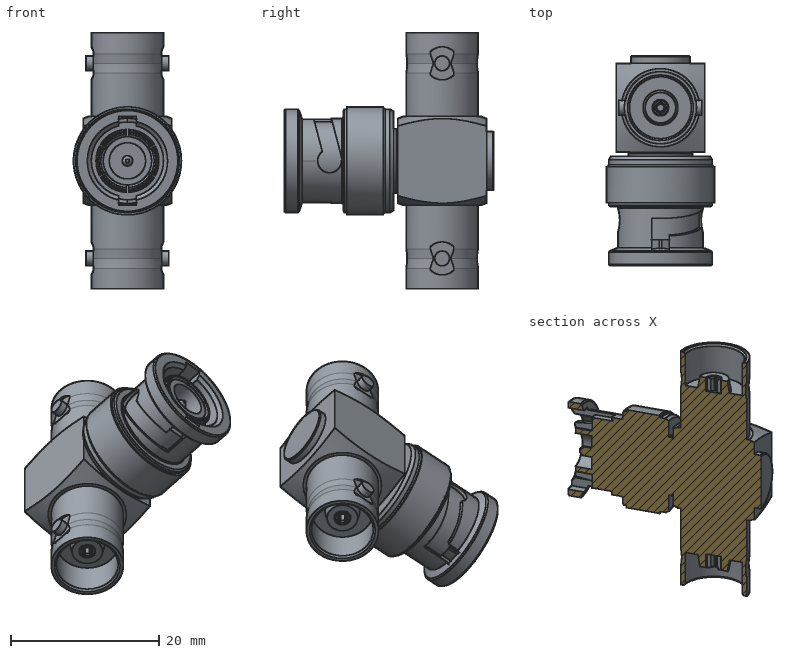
import cadquery as cq
import math


body_size = 12.0
body_half = body_size / 2
body_cone_start_radius = 5.28
body_cone_angle = 22.0
cap_radius = 4.0
cap_height = 1.0
cap_chamfer = 0.15

jack_radius = 4.87
jack_end = 17.3
jack_mouth_radius = 4.43
jack_bore_radius = 4.17
jack_bore_floor = 12.4
jack_groove_center = 13.17
jack_groove_half_width = 1.3
jack_groove_depth = 0.13
pin_radius = 1.0
pin_reach = 5.6
pin_spot_radius = 2.23
pin_spot_reach = 4.6
insulator_base_radius = 2.36
insulator_tip_radius = 2.06
insulator_tip = 14.1
socket_clearance_radius = 1.1
socket_radius = 0.98
socket_bore_radius = 0.5
socket_mouth_radius = 0.7
socket_depth = 2.0
socket_slit_width = 0.2
socket_slit_count = 4

neck_radius = 4.35
neck_chamfer = 0.2
nut_start = 6.55
nut_shoulder = 7.95
nut_shoulder_step = 0.25
nut_end = 13.35
nut_radius = 7.3
nut_collar_radius = 7.0
nut_front_collar_length = 0.5
nut_chamfer = 0.3
nut_rear_chamfer_length = 0.5
shell_radius = 5.75
shell_root_chamfer = 0.2
flange_start = 18.9
flange_cone_length = 0.4
flange_cone_radius = 6.8
flange_radius = 7.0
flange_chamfer = 0.2
plug_end = 21.35
plug_bore_radius = 4.87
plug_mouth_radius = 5.42
plug_mouth_chamfer = 0.5
plug_bore_floor = 17.85

slot_width = 2.4
slot_reach = 6.0
slot_floor_radius = 5.25
slot_rear = 14.95
ramp_rise_per_height = 0.26
lock_hole_center = 15.2
lock_hole_radius = 1.6

collet_radius = 4.25
collet_shoulder_radius = 4.0
collet_tip_outer_radius = 3.85
collet_tip_inner_radius = 3.6
collet_tip = 20.45
collet_bevel = 0.2
collet_slit_width = 0.3
collet_slit_count = 6
plug_insulator_radius = 3.26
plug_insulator_bore_radius = 2.45
plug_insulator_tip = 20.3
plug_insulator_floor = 17.95
contact_radius = 0.7
contact_tip_radius = 0.25
contact_tip = 19.65
contact_taper_length = 0.5


def turned_z(points):
    """Solid turned about Z from (radius, height) points."""
    return cq.Workplane("XZ").polyline(points).close().revolve(360, (0, 0, 0), (0, 1, 0))


def turned_plug(points):
    """Solid turned about the plug axis from (radius, distance along -Y) points."""
    profile = [(radius, -distance) for radius, distance in points]
    return cq.Workplane("XY").polyline(profile).close().revolve(360, (0, 0, 0), (0, 1, 0))


def make_body():
    """Square block with its Z ends turned to shallow cones, and a round cap on +Y."""
    outside_radius = body_size
    cone_drop = (outside_radius - body_cone_start_radius) * math.tan(math.radians(body_cone_angle))
    cone_envelope = turned_z([
        (0, body_half),
        (body_cone_start_radius, body_half),
        (outside_radius, body_half - cone_drop),
        (outside_radius, cone_drop - body_half),
        (body_cone_start_radius, -body_half),
        (0, -body_half),
    ])
    block = cq.Workplane("XY").box(body_size, body_size, body_size).intersect(cone_envelope)
    cap = (
        cq.Workplane("XZ")
        .circle(cap_radius)
        .extrude(-(body_half + cap_height))
        .faces(">Y")
        .chamfer(cap_chamfer)
    )
    return block.union(cap)


def make_jack():
    """Jack along +Z with its bayonet pins, insulator and slit socket contact."""
    mouth_chamfer = jack_mouth_radius - jack_bore_radius
    jack = turned_z([
        (0, 0),
        (jack_radius, 0),
        (jack_radius, jack_groove_center - jack_groove_half_width),
        (jack_radius - jack_groove_depth, jack_groove_center),
        (jack_radius, jack_groove_center + jack_groove_half_width),
        (jack_radius, jack_end),
        (jack_mouth_radius, jack_end),
        (jack_bore_radius, jack_end - mouth_chamfer),
        (jack_bore_radius, jack_bore_floor),
        (insulator_base_radius, jack_bore_floor),
        (insulator_tip_radius, insulator_tip),
        (socket_clearance_radius, insulator_tip),
        (socket_clearance_radius, insulator_tip - socket_depth),
        (socket_radius, insulator_tip - socket_depth),
        (socket_radius, insulator_tip),
        (socket_mouth_radius, insulator_tip),
        (socket_bore_radius, insulator_tip - (socket_mouth_radius - socket_bore_radius)),
        (socket_bore_radius, insulator_tip - socket_depth),
        (0, insulator_tip - socket_depth),
    ])
    for side in (-1, 1):
        spot_face = (
            cq.Workplane("YZ", origin=(side * pin_spot_reach, 0, jack_groove_center))
            .circle(pin_spot_radius)
            .extrude(side * jack_radius)
        )
        pin_root = (jack_bore_radius + pin_spot_reach) / 2
        pin = (
            cq.Workplane("YZ", origin=(side * pin_root, 0, jack_groove_center))
            .circle(pin_radius)
            .extrude(side * (pin_reach - pin_root))
        )
        jack = jack.cut(spot_face).union(pin)
    socket_envelope = (
        cq.Workplane("XY", origin=(0, 0, insulator_tip - socket_depth))
        .circle(socket_radius)
        .extrude(socket_depth)
    )
    slits = (
        cq.Workplane("XY", origin=(0, 0, insulator_tip - socket_depth))
        .polarArray(socket_radius / 2, 0, 360, socket_slit_count)
        .rect(socket_radius, socket_slit_width)
        .extrude(socket_depth)
    )
    return jack.cut(slits.intersect(socket_envelope))


def make_plug_shell():
    """Neck, coupling nut and flanged bayonet shell, turned about the plug axis."""
    return turned_plug([
        (0, 0),
        (neck_radius - neck_chamfer, 0),
        (neck_radius - neck_chamfer, body_half),
        (neck_radius, body_half + neck_chamfer),
        (neck_radius, nut_start),
        (nut_collar_radius - nut_chamfer, nut_start),
        (nut_collar_radius, nut_start + nut_rear_chamfer_length),
        (nut_collar_radius, nut_shoulder - nut_shoulder_step),
        (nut_collar_radius + nut_shoulder_step / 2, nut_shoulder),
        (nut_radius, nut_shoulder),
        (nut_radius, nut_end - nut_front_collar_length),
        (nut_collar_radius, nut_end - nut_front_collar_length),
        (nut_collar_radius, nut_end - nut_chamfer / 2),
        (nut_collar_radius - nut_chamfer, nut_end),
        (shell_radius + shell_root_chamfer / 2, nut_end),
        (shell_radius, nut_end + shell_root_chamfer),
        (shell_radius, flange_start),
        (flange_cone_radius, flange_start + flange_cone_length),
        (flange_radius, flange_start + flange_cone_length + flange_chamfer),
        (flange_radius, plug_end - flange_chamfer),
        (flange_radius - flange_chamfer, plug_end),
        (plug_mouth_radius, plug_end),
        (plug_bore_radius, plug_end - plug_mouth_chamfer),
        (plug_bore_radius, plug_bore_floor),
        (0, plug_bore_floor),
    ])


def make_lower_bayonet_slot():
    """Cutter for the slot that enters at -Z and ramps round to the lock hole on -X."""
    entry_length = plug_end - slot_rear
    entry = cq.Workplane("XY").box(
        slot_width, entry_length, slot_reach, centered=(True, False, False)
    ).translate((0, -plug_end, -slot_reach))
    ramp_shift = ramp_rise_per_height * shell_radius
    ramp = (
        cq.Workplane("YZ")
        .polyline([
            (-slot_rear, -shell_radius),
            (-slot_rear + ramp_shift, 0),
            (-slot_rear + ramp_shift - slot_width, 0),
            (-slot_rear - slot_width, -shell_radius),
        ])
        .close()
        .extrude(-slot_reach)
    )
    lock_hole = (
        cq.Workplane("YZ", origin=(0, -lock_hole_center, 0))
        .circle(lock_hole_radius)
        .extrude(-slot_reach)
    )
    slot = entry.union(ramp).union(lock_hole)
    behind_nut = cq.Workplane("XZ").circle(nut_radius).extrude(nut_end)
    core = cq.Workplane("XZ").circle(slot_floor_radius).extrude(plug_bore_floor)
    return slot.cut(behind_nut).cut(core)


def make_plug_contact():
    """Slit tapered collet, insulator tube and centre pin inside the plug."""
    collet = turned_plug([
        (plug_insulator_radius, plug_bore_floor),
        (collet_radius, plug_bore_floor),
        (collet_shoulder_radius, collet_tip - collet_bevel),
        (collet_tip_outer_radius, collet_tip),
        (collet_tip_inner_radius, collet_tip),
        (plug_insulator_radius, collet_tip - collet_bevel),
    ])
    slit_span = collet_radius - plug_insulator_radius
    slits = (
        cq.Workplane("XZ", origin=(0, -plug_bore_floor, 0))
        .polarArray(plug_insulator_radius + slit_span / 2, 90, 360, collet_slit_count)
        .rect(2 * slit_span, collet_slit_width)
        .extrude(collet_tip - plug_bore_floor)
    )
    insulator = turned_plug([
        (0, plug_bore_floor),
        (plug_insulator_radius, plug_bore_floor),
        (plug_insulator_radius, plug_insulator_tip),
        (plug_insulator_bore_radius, plug_insulator_tip),
        (plug_insulator_bore_radius, plug_insulator_floor),
        (contact_radius, plug_insulator_floor),
        (contact_radius, contact_tip - contact_taper_length),
        (contact_tip_radius, contact_tip),
        (0, contact_tip),
    ])
    return collet.cut(slits).union(insulator)


upper_jack = make_jack()
lower_jack = upper_jack.rotate((0, 0, 0), (1, 0, 0), 180)

lower_slot = make_lower_bayonet_slot()
upper_slot = lower_slot.rotate((0, 0, 0), (0, 1, 0), 180)
plug = make_plug_shell().cut(lower_slot).cut(upper_slot).union(make_plug_contact())

result = make_body().union(upper_jack).union(lower_jack).union(plug)